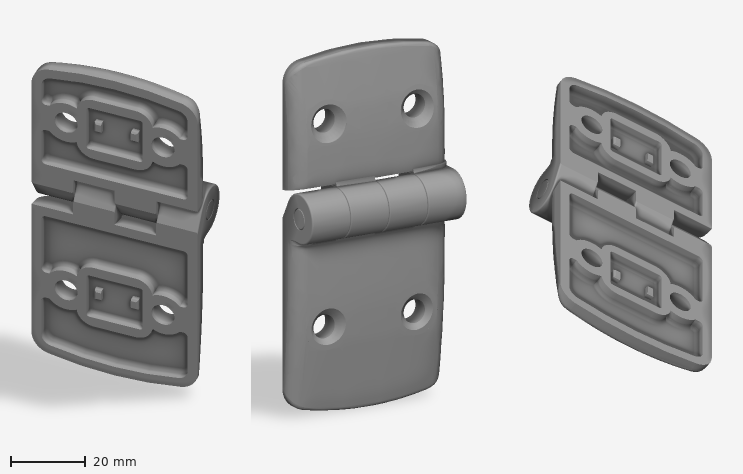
import cadquery as cq
import math


width = 48.0
half_width = width / 2
upper_length = 43.5
lower_length = 57.5
upper_screw_z = 25.0
lower_screw_z = 32.5

knuckle_count = 4
knuckle_width = width / knuckle_count
knuckle_radius = 7.0
axis_y = 8.9
pin_radius = 3.0
pin_chamfer = 0.4
knuckle_round = 0.4
knuckle_foot_z = 1.4
root_start_y = 6.4
root_end_y = 3.1
root_end_z = 8.2
root_blend_end_y = 7.9
root_blend_mid_y = 8.25
root_blend_mid_z = 7.4

plate_thickness = 8.0
plate_foot_front_z = 5.85
plate_foot_back_z = 7.7
end_arc_radius = 100.0
corner_radius = 6.0
crown_radius = 225.0
side_round = 4.0
end_round = 1.2
upper_back_radius = 120.0
upper_back_peak_z = 14.5
lower_back_radius = 228.0
lower_back_peak_z = 15.0

rim_width = 2.9
pocket_depth = 3.1
pocket_foot_z = 8.9
pocket_corner_radius = 1.3
pocket_floor_round = 1.0
island_half_width = 11.0
island_half_height = 10.05
island_corner_radius = 5.0
screw_boss_radius = 6.5
island_arm_half_height = 4.3

recess_width = 16.2
recess_height = 14.1
recess_depth = 2.7
recess_corner_radius = 0.8
recess_floor_round = 0.7

screw_x = 14.0
screw_hole_radius = 3.3
insert_seat_y = 4.0
insert_radius = 6.3
insert_lug_height = 6.0
countersink_start_y = 5.0
countersink_radius = 5.6
hook_inner_x = 4.3
hook_outer_x = 6.3
hook_height = 3.2
hook_tip_y = 0.9
hook_chamfer = 0.45


def prism(sketch_plane_y, outline, depth):
    """Extrude an XZ outline from the given y toward +Y."""
    return outline(cq.Workplane("XZ", origin=(0, sketch_plane_y, 0))).extrude(-depth)


def arched_outline(length, margin, foot_z):
    """Plate outline, inset by margin, with an arched far end and rounded far corners."""
    side = half_width - margin
    radius = end_arc_radius - margin
    top = length - margin
    shoulder = top - radius + math.sqrt(radius**2 - side**2)
    return (
        lambda plane: plane.moveTo(-side, foot_z)
        .lineTo(-side, shoulder)
        .threePointArc((0, top), (side, shoulder))
        .lineTo(side, foot_z)
        .close()
    )


def arched_plate(length, margin, foot_z, depth):
    plate = prism(0, arched_outline(length, margin, foot_z), depth)
    return plate.edges("|Y").edges(">Z").fillet(corner_radius - margin)


def back_envelope(back_radius, peak_z, lift=0.0):
    """Crowned, side-rounded ring whose outer surface is the back of a leaf, raised by lift."""
    peak_y = plate_thickness + lift
    axis_of_turn_y = plate_thickness - back_radius
    crown_drop = crown_radius - math.sqrt(crown_radius**2 - half_width**2)
    inner_y = -2 * plate_thickness
    ring = (
        cq.Workplane("XY", origin=(0, 0, peak_z))
        .moveTo(-half_width, inner_y)
        .lineTo(-half_width, peak_y - crown_drop)
        .threePointArc((0, peak_y), (half_width, peak_y - crown_drop))
        .lineTo(half_width, inner_y)
        .close()
        .revolve(360, (0, axis_of_turn_y, 0), (1, axis_of_turn_y, 0))
    )
    rim_height = back_radius + lift - crown_drop
    rims = [
        edge
        for edge in ring.edges("%CIRCLE").vals()
        if abs(edge.radius() - rim_height) < 0.01
    ]
    return ring.newObject(rims).fillet(side_round)


def plate_body(length, envelope):
    plate = arched_plate(length, 0, 0, 2 * plate_thickness)
    foot = (
        cq.Workplane("YZ", origin=(-half_width, 0, 0))
        .moveTo(0, plate_foot_front_z)
        .lineTo(plate_thickness, plate_foot_back_z)
        .lineTo(2 * plate_thickness, plate_foot_back_z)
        .lineTo(2 * plate_thickness, length)
        .lineTo(0, length)
        .close()
        .extrude(width)
    )
    plate = plate.intersect(foot).intersect(envelope)
    return plate.edges(cq.selectors.BoxSelector(
        (-half_width, 1, length - corner_radius), (half_width, plate_thickness, length + 1)
    )).edges("not(|Y)").fillet(end_round)


def knuckle(start_x):
    """Barrel whose underside runs tangentially from the barrel to the mounting plane."""
    to_foot = math.atan2(knuckle_foot_z, -axis_y)
    tangent_angle = to_foot + math.acos(knuckle_radius / math.hypot(axis_y, knuckle_foot_z))
    tangent_y = axis_y + knuckle_radius * math.cos(tangent_angle)
    tangent_z = knuckle_radius * math.sin(tangent_angle)
    body = (
        cq.Workplane("YZ", origin=(start_x, 0, 0))
        .moveTo(0, knuckle_foot_z)
        .lineTo(tangent_y, tangent_z)
        .threePointArc((axis_y + knuckle_radius, 0), (axis_y, knuckle_radius))
        .lineTo(root_start_y, knuckle_radius)
        .tangentArcPoint((root_end_y, root_end_z), relative=False)
        .lineTo(0, root_end_z)
        .close()
        .extrude(knuckle_width)
    )
    barrel_edges = [
        edge
        for edge in body.edges("%CIRCLE").vals()
        if abs(edge.radius() - knuckle_radius) < 0.01
    ]
    return body.newObject(barrel_edges).fillet(knuckle_round)


def root_blend(start_x, raised_envelope):
    """Hollow blend between the top of a barrel and the back of the plate."""
    blend = (
        cq.Workplane("YZ", origin=(start_x, 0, 0))
        .moveTo(root_end_y, knuckle_radius)
        .lineTo(axis_y, knuckle_radius)
        .threePointArc((root_blend_mid_y, root_blend_mid_z), (root_blend_end_y, root_end_z))
        .lineTo(root_end_y, root_end_z)
        .close()
        .extrude(knuckle_width)
    )
    return blend.intersect(raised_envelope)


def pin_bore():
    return cq.Workplane("YZ", origin=(-half_width, axis_y, 0)).circle(pin_radius).extrude(width)


def island(screw_z):
    """Raised region left standing around the recess and the screw holes."""
    block = prism(
        0,
        lambda plane: plane.center(0, screw_z).rect(2 * island_half_width, 2 * island_half_height),
        pocket_depth,
    ).edges("|Y").fillet(island_corner_radius)
    bosses = prism(
        0,
        lambda plane: plane.pushPoints([(-screw_x, screw_z), (screw_x, screw_z)]).circle(screw_boss_radius),
        pocket_depth,
    )
    arms = prism(
        0, lambda plane: plane.center(0, screw_z).rect(width, 2 * island_arm_half_height), pocket_depth
    )
    return block.union(bosses).union(arms)


def pockets(length, screw_z):
    """Two hollows, one on each side of the island."""
    hollow = arched_plate(length, rim_width, pocket_foot_z, pocket_depth).cut(island(screw_z))
    rounded = []
    for part in hollow.solids().vals():
        part = cq.Workplane(part)
        side = half_width - rim_width
        sharp = []
        for edge in part.edges("|Y").vals():
            spot = edge.Center()
            if abs(abs(spot.x) - side) < 0.01 and spot.z < length - rim_width - corner_radius:
                sharp.append(edge)
        part = part.newObject(sharp).fillet(pocket_corner_radius)
        part = part.faces(">Y").edges().fillet(pocket_floor_round)
        rounded.append(part)
    return rounded


def recess(screw_z):
    box = prism(
        0, lambda plane: plane.center(0, screw_z).rect(recess_width, recess_height), recess_depth
    )
    return box.edges("|Y").fillet(recess_corner_radius).faces(">Y").edges().fillet(recess_floor_round)


def insert_blank(side, screw_z):
    """Solid form of an insert: a seat disc, a lug toward the middle and a hook through the floor."""
    depth = 2 * plate_thickness
    disc = prism(
        insert_seat_y, lambda plane: plane.center(side * screw_x, screw_z).circle(insert_radius), depth
    )
    lug_length = screw_x - hook_inner_x
    lug_x = side * (screw_x + hook_inner_x) / 2
    lug = prism(
        insert_seat_y, lambda plane: plane.center(lug_x, screw_z).rect(lug_length, insert_lug_height), depth
    )
    hook_x = side * (hook_inner_x + hook_outer_x) / 2
    hook = prism(
        hook_tip_y,
        lambda plane: plane.center(hook_x, screw_z).rect(hook_outer_x - hook_inner_x, hook_height),
        insert_seat_y - hook_tip_y,
    )
    outer_tip = ">X" if side > 0 else "<X"
    hook = hook.faces("<Y").edges(f"{outer_tip} or |X").chamfer(hook_chamfer)
    return disc.union(lug).union(hook)


def insert(side, screw_z, back):
    """Insert with a countersunk screw hole, its back flush with the leaf."""
    body = insert_blank(side, screw_z).intersect(back_envelope(*back))
    rise = countersink_radius - screw_hole_radius
    cutter = (
        cq.Workplane("XY", origin=(side * screw_x, 0, screw_z))
        .lineTo(screw_hole_radius, 0)
        .lineTo(screw_hole_radius, countersink_start_y)
        .lineTo(countersink_radius, countersink_start_y + rise)
        .lineTo(countersink_radius, 2 * plate_thickness)
        .lineTo(0, 2 * plate_thickness)
        .close()
        .revolve(360, (0, 0, 0), (0, 1, 0))
    )
    return body.cut(cutter)


def leaf(length, screw_z, back, first_knuckle_x):
    envelope = back_envelope(*back)
    raised_envelope = back_envelope(*back, lift=axis_y - plate_thickness)
    body = plate_body(length, envelope)
    for start_x in (first_knuckle_x, first_knuckle_x + 2 * knuckle_width):
        body = body.union(knuckle(start_x)).union(root_blend(start_x, raised_envelope))
    for hollow in pockets(length, screw_z):
        body = body.cut(hollow)
    body = body.cut(recess(screw_z)).cut(pin_bore())
    for side in (-1, 1):
        hole = prism(
            0, lambda plane: plane.center(side * screw_x, screw_z).circle(screw_hole_radius), plate_thickness
        )
        body = body.cut(hole).cut(insert_blank(side, screw_z))
    return body


upper_back = (upper_back_radius, upper_back_peak_z)
lower_back = (lower_back_radius, lower_back_peak_z)

upper_leaf = leaf(upper_length, upper_screw_z, upper_back, -half_width)
lower_leaf = leaf(lower_length, lower_screw_z, lower_back, -half_width + knuckle_width).mirror("XY")

pin = pin_bore().edges().chamfer(pin_chamfer)

inserts = []
for side in (-1, 1):
    inserts.append(insert(side, upper_screw_z, upper_back).val())
    inserts.append(insert(side, lower_screw_z, lower_back).mirror("XY").val())

result = cq.Compound.makeCompound([upper_leaf.val(), lower_leaf.val(), pin.val(), *inserts])